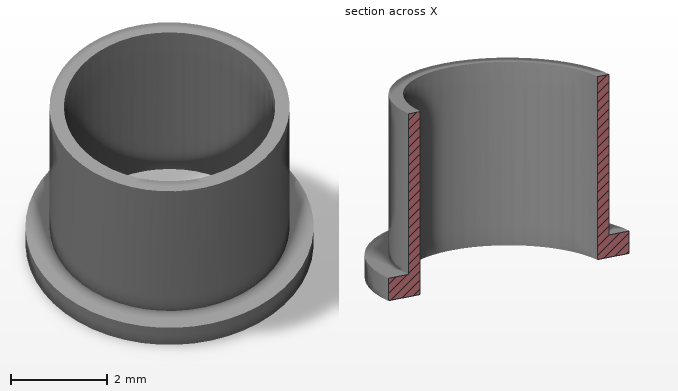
import cadquery as cq

flange_diameter = 6.0
sleeve_diameter = 5.0
bore_diameter = 4.4
total_height = 4.0
flange_thickness = 0.5

flange = cq.Workplane("XY").circle(flange_diameter / 2).extrude(flange_thickness)
sleeve = cq.Workplane("XY").circle(sleeve_diameter / 2).extrude(total_height)
bore = cq.Workplane("XY").circle(bore_diameter / 2).extrude(total_height)

result = flange.union(sleeve).cut(bore)